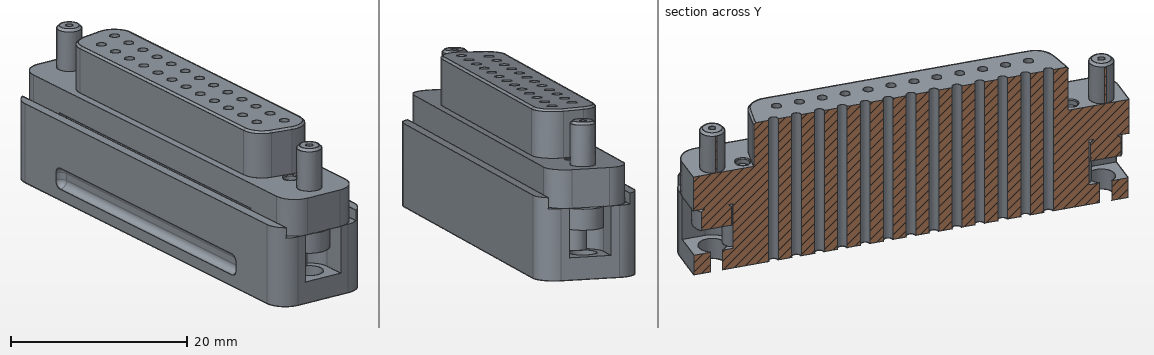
import cadquery as cq
import math

JOINT_OVERLAP = 0.05

HOUSING_LENGTH = 52.5
HOUSING_WIDTH = 12.06
HOUSING_TOP = 9.6
CORNER_RADIUS = 2.54
NOTCH_WIDTH = 9.7

FLANGE_LENGTH = 52.7
FLANGE_WIDTH = 9.56
FLANGE_BOTTOM = 8.33
FLANGE_TOP = 12.78

TOTAL_HEIGHT = 18.41
SHELL_WIDTH = 7.62
SHELL_MID_HALF_LENGTH = 18.83
SHELL_SIDE_ANGLE = 10.0
SHELL_RADIUS = 2.54
SHELL_EDGE = 0.25

CONTACT_PITCH = 2.77
ROW_SPACING = 2.84
LONG_ROW_COUNT = 13
CONTACT_DIAMETER = 1.12

SCREW_SPACING = 47.04
SCREW_X = SCREW_SPACING / 2
SCREW_DIAMETER = 2.87
SCREW_TOP = 17.86
SCREW_EDGE = 0.3
SCREW_BORE = 0.8
HEAD_DIAMETER = 4.7
HEAD_BOTTOM = 5.6
HEAD_EDGE = 0.3

POCKET_WIDTH = 4.9
POCKET_FLOOR = 2.61
ACCESS_DIAMETER = 3.2
RIB_DIAMETER = 2.38

RIVET_X = 19.83
RIVET_DIAMETER = 1.6
RIVET_DEPTH = 0.7
RIVET_EDGE = 0.12

RECESS_LENGTH = 37.46
RECESS_TOP = 9.76
RECESS_DEPTH = 1.0

TROUGH_LENGTH = 35.3
TROUGH_HEIGHT = 2.54
TROUGH_CENTER_Z = 2.62
TROUGH_DEPTH = 0.9
TROUGH_RADIUS = 0.85


def box(length, width, bottom, top, x=0.0, y=0.0):
    """Box centred on (x, y) between two heights."""
    return cq.Workplane("XY", origin=(x, y, bottom)).rect(length, width).extrude(top - bottom)


def cylinder(diameter, bottom, top, x=0.0, y=0.0):
    """Upright cylinder at (x, y) between two heights."""
    return cq.Workplane("XY", origin=(x, y, bottom)).circle(diameter / 2).extrude(top - bottom)


def make_housing():
    body = box(HOUSING_LENGTH, HOUSING_WIDTH, 0, HOUSING_TOP).edges("|Z").fillet(CORNER_RADIUS)
    notch = box(FLANGE_LENGTH, NOTCH_WIDTH, FLANGE_BOTTOM, HOUSING_TOP)
    return body.cut(notch)


def make_trough():
    """Cutter for the trough; its outer half lies outside the housing."""
    block = box(
        TROUGH_LENGTH,
        2 * TROUGH_DEPTH,
        TROUGH_CENTER_Z - TROUGH_HEIGHT / 2,
        TROUGH_CENTER_Z + TROUGH_HEIGHT / 2,
        y=-HOUSING_WIDTH / 2,
    )
    return block.edges().fillet(TROUGH_RADIUS)


def make_pocket(side):
    """Cutter for one screw-head pocket with its access hole, less the rib on its back wall."""
    x = side * SCREW_X
    mouth_length = FLANGE_LENGTH / 2 - SCREW_X
    mouth_x = side * (SCREW_X + mouth_length / 2)
    back_x = x - side * POCKET_WIDTH / 2
    pocket = box(mouth_length, POCKET_WIDTH, POCKET_FLOOR, FLANGE_BOTTOM, mouth_x)
    pocket = pocket.union(cylinder(POCKET_WIDTH, POCKET_FLOOR, FLANGE_BOTTOM, x))
    pocket = pocket.cut(cylinder(RIB_DIAMETER, POCKET_FLOOR, FLANGE_BOTTOM, back_x))
    return pocket.union(cylinder(ACCESS_DIAMETER, 0, POCKET_FLOOR, x))


def make_flange():
    flange = box(FLANGE_LENGTH, FLANGE_WIDTH, FLANGE_BOTTOM, FLANGE_TOP)
    flange = flange.edges("|Z").fillet(CORNER_RADIUS)
    recess = box(RECESS_LENGTH, 2 * RECESS_DEPTH, FLANGE_BOTTOM, RECESS_TOP, y=-FLANGE_WIDTH / 2)
    return flange.cut(recess)


def make_shell():
    half_width = SHELL_WIDTH / 2
    flare = half_width * math.tan(math.radians(SHELL_SIDE_ANGLE))
    wide = SHELL_MID_HALF_LENGTH + flare
    narrow = SHELL_MID_HALF_LENGTH - flare
    outline = [(-wide, half_width), (wide, half_width), (narrow, -half_width), (-narrow, -half_width)]
    shell = (
        cq.Workplane("XY", origin=(0, 0, FLANGE_TOP - JOINT_OVERLAP))
        .polyline(outline)
        .close()
        .extrude(TOTAL_HEIGHT - FLANGE_TOP + JOINT_OVERLAP)
    )
    return shell.edges("|Z").fillet(SHELL_RADIUS).faces(">Z").edges().chamfer(SHELL_EDGE)


def make_screw(side):
    x = side * SCREW_X
    pin = cylinder(SCREW_DIAMETER, FLANGE_BOTTOM, SCREW_TOP, x).faces(">Z").chamfer(SCREW_EDGE)
    head = cylinder(HEAD_DIAMETER, HEAD_BOTTOM, FLANGE_BOTTOM, x).faces(">Z").chamfer(HEAD_EDGE)
    return pin.union(head)


def make_contact_holes():
    points = []
    for row, count in ((1, LONG_ROW_COUNT), (-1, LONG_ROW_COUNT - 1)):
        for i in range(count):
            points.append(((i - (count - 1) / 2) * CONTACT_PITCH, row * ROW_SPACING / 2))
    return cq.Workplane("XY").pushPoints(points).circle(CONTACT_DIAMETER / 2).extrude(TOTAL_HEIGHT)


def make_rivet_hole(side):
    """Cutter for one blind hole with a chamfered rim."""
    x = side * RIVET_X
    rim_radius = RIVET_DIAMETER / 2 + RIVET_EDGE
    rim = cq.Workplane("XY").add(
        cq.Solid.makeCone(
            RIVET_DIAMETER / 2, rim_radius, RIVET_EDGE, cq.Vector(x, 0, FLANGE_TOP - RIVET_EDGE)
        )
    )
    return cylinder(RIVET_DIAMETER, FLANGE_TOP - RIVET_DEPTH, FLANGE_TOP, x).union(rim)


housing = make_housing().cut(make_trough())
flange = make_flange()
for side in (-1, 1):
    housing = housing.cut(make_pocket(side))
    flange = flange.cut(make_rivet_hole(side))

result = housing.union(flange).union(make_shell())
for side in (-1, 1):
    result = result.union(make_screw(side))
    result = result.cut(cylinder(SCREW_BORE, 0, SCREW_TOP, side * SCREW_X))
result = result.cut(make_contact_holes())